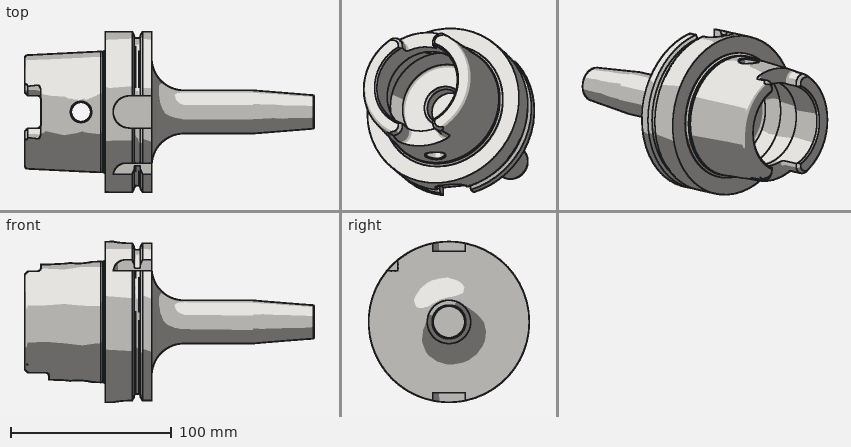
import cadquery as cq
import math

ARC_MID = 1 - math.sqrt(0.5)

TAPER_LENGTH = 50.0
FLANGE_WIDTH = 29.0
NECK_RADIUS = 13.5
FLARE_RADIUS = 20.0
NOSE_CONE_START = 92.0
NOSE_END = 130.0
NOSE_RADIUS = 10.5
NOSE_CHAMFER = 0.7

GAUGE_RADIUS = 37.5
GAUGE_OFFSET = 6.3
TAPER_SLOPE = 1 / 20
TIP_ROUND = 2.0
FACE_FILLET = 1.5
FACE_RECESS = 0.5
RELIEF_START = -2.7
RELIEF_DEPTH = 0.25
RELIEF_STEP = 0.4

BORE_RADIUS = 26.5
BORE_MOUTH_CHAMFER = 1.1
CLAMP_SHOULDER_X = -29.5
CLAMP_SHOULDER_ANGLE = 60.0
CLAMP_RADIUS = 31.5
CLAMP_END_X = -9.2
CLAMP_RUNOUT_ANGLE = 30.0
BORE_FLOOR_FILLET = 1.5
PILOT_RADIUS = 11.2
PILOT_CHAMFER = 1.5
PILOT_DEPTH = 10.0

CROSS_HOLE_RADIUS = 6.0
CROSS_HOLE_CHAMFER = 0.6
CROSS_HOLE_X = -15.0

DRIVE_SLOT_HALF_WIDTH = 10.0
DRIVE_SLOT_SHOULDER = 31.6
DRIVE_SLOT_CORNER = 5.5
DRIVE_SLOT_FLOOR_FILLET = 2.0
DRIVE_SLOT_ENTRY_CHAMFER = 2.0
UPPER_SLOT_DEPTH = 10.0
LOWER_SLOT_DEPTH = 15.0
SELECT_MARGIN = 0.5

FLANGE_RADIUS = 50.0
GROOVE_CENTER = 20.0
GROOVE_MOUTH = 6.5
GROOVE_NECK = 3.9
GROOVE_WALL_ANGLE = 30.0
GROOVE_FLOOR_RADIUS = 46.0
GROOVE_ROUND = 1.1

POCKET_START = 5.0
POCKET_HALF_WIDTH = 10.0
POCKET_FLOOR = 44.0
NOTCH_WALL = 31.75
NOTCH_CUTTER_RADIUS = 8.0


def taper_radius(x):
    """Outer radius of the taper at axial position x."""
    return GAUGE_RADIUS + (x + GAUGE_OFFSET) * TAPER_SLOPE


def outer_body():
    """Solid of revolution about X: taper, flange, flare and nose."""
    tip = -TAPER_LENGTH
    root_radius = taper_radius(0)
    relief_radius = root_radius - RELIEF_DEPTH
    fillet_start = FACE_RECESS - FACE_FILLET
    fillet_sweep = FACE_FILLET * ARC_MID
    fillet_top = root_radius + FACE_FILLET
    flare_sweep = FLARE_RADIUS * ARC_MID
    flare_end = FLANGE_WIDTH + FLARE_RADIUS
    flare_center_radius = NECK_RADIUS + FLARE_RADIUS
    return (
        cq.Workplane("XY")
        .moveTo(tip, 0)
        .lineTo(tip, taper_radius(tip))
        .lineTo(RELIEF_START, taper_radius(RELIEF_START))
        .lineTo(RELIEF_START + RELIEF_STEP, relief_radius)
        .lineTo(fillet_start - RELIEF_STEP, relief_radius)
        .lineTo(fillet_start, root_radius)
        .threePointArc((FACE_RECESS - fillet_sweep, root_radius + fillet_sweep), (FACE_RECESS, fillet_top))
        .lineTo(0, fillet_top)
        .lineTo(0, FLANGE_RADIUS)
        .lineTo(FLANGE_WIDTH, FLANGE_RADIUS)
        .lineTo(FLANGE_WIDTH, flare_center_radius)
        .threePointArc((FLANGE_WIDTH + flare_sweep, NECK_RADIUS + flare_sweep), (flare_end, NECK_RADIUS))
        .lineTo(NOSE_CONE_START, NECK_RADIUS)
        .lineTo(NOSE_END - NOSE_CHAMFER, NOSE_RADIUS)
        .lineTo(NOSE_END, NOSE_RADIUS - NOSE_CHAMFER)
        .lineTo(NOSE_END, 0)
        .close()
        .revolve(360, (0, 0, 0), (1, 0, 0))
    )


def tip_rounding():
    """Ring of material outside the rounded rim of the taper tip."""
    tip = -TAPER_LENGTH
    rim_radius = taper_radius(tip + TIP_ROUND)
    diagonal = TIP_ROUND * ARC_MID
    return (
        cq.Workplane("XY")
        .moveTo(tip, rim_radius - TIP_ROUND)
        .threePointArc((tip + diagonal, rim_radius - diagonal), (tip + TIP_ROUND, rim_radius))
        .lineTo(tip + TIP_ROUND, FLANGE_RADIUS)
        .lineTo(tip, FLANGE_RADIUS)
        .close()
        .revolve(360, (0, 0, 0), (1, 0, 0))
    )


def gripper_groove():
    """Ring with tapered mouth, straight neck and rounded floor corners."""
    mouth_half = GROOVE_MOUTH / 2
    neck_half = GROOVE_NECK / 2
    floor_half = neck_half - GROOVE_ROUND
    mouth_depth = (mouth_half - neck_half) / math.tan(math.radians(GROOVE_WALL_ANGLE))
    neck_radius = FLANGE_RADIUS - mouth_depth
    round_top = GROOVE_FLOOR_RADIUS + GROOVE_ROUND
    sweep = GROOVE_ROUND * ARC_MID
    return (
        cq.Workplane("XY", origin=(GROOVE_CENTER, 0, 0))
        .moveTo(-mouth_half, FLANGE_RADIUS)
        .lineTo(-neck_half, neck_radius)
        .lineTo(-neck_half, round_top)
        .threePointArc((-neck_half + sweep, GROOVE_FLOOR_RADIUS + sweep), (-floor_half, GROOVE_FLOOR_RADIUS))
        .lineTo(floor_half, GROOVE_FLOOR_RADIUS)
        .threePointArc((neck_half - sweep, GROOVE_FLOOR_RADIUS + sweep), (neck_half, round_top))
        .lineTo(neck_half, neck_radius)
        .lineTo(mouth_half, FLANGE_RADIUS)
        .close()
        .revolve(360, (0, 0, 0), (1, 0, 0))
    )


def taper_bore():
    """Blind bore opening at the taper tip."""
    tip = -TAPER_LENGTH
    step = CLAMP_RADIUS - BORE_RADIUS
    shoulder_length = step / math.tan(math.radians(CLAMP_SHOULDER_ANGLE))
    runout_end = CLAMP_END_X + step / math.tan(math.radians(CLAMP_RUNOUT_ANGLE))
    floor = runout_end + BORE_FLOOR_FILLET
    floor_radius = BORE_RADIUS - BORE_FLOOR_FILLET
    floor_sweep = BORE_FLOOR_FILLET * ARC_MID
    return (
        cq.Workplane("XY")
        .moveTo(tip, 0)
        .lineTo(tip, BORE_RADIUS + BORE_MOUTH_CHAMFER)
        .lineTo(tip + BORE_MOUTH_CHAMFER, BORE_RADIUS)
        .lineTo(CLAMP_SHOULDER_X, BORE_RADIUS)
        .lineTo(CLAMP_SHOULDER_X + shoulder_length, CLAMP_RADIUS)
        .lineTo(CLAMP_END_X, CLAMP_RADIUS)
        .lineTo(runout_end, BORE_RADIUS)
        .threePointArc((floor - floor_sweep, BORE_RADIUS - floor_sweep), (floor, floor_radius))
        .lineTo(floor, PILOT_RADIUS + PILOT_CHAMFER)
        .lineTo(floor + PILOT_CHAMFER, PILOT_RADIUS)
        .lineTo(floor + PILOT_DEPTH, PILOT_RADIUS)
        .lineTo(floor + PILOT_DEPTH, 0)
        .close()
        .revolve(360, (0, 0, 0), (1, 0, 0))
    )


def cross_hole():
    """Straight hole along Z through both walls of the taper."""
    return (
        cq.Workplane("XY")
        .center(CROSS_HOLE_X, 0)
        .circle(CROSS_HOLE_RADIUS)
        .extrude(FLANGE_RADIUS, both=True)
    )


def drive_slot(depth):
    """Slot above the axis whose walls curve outward into flat shoulders."""
    wall = DRIVE_SLOT_HALF_WIDTH
    corner = DRIVE_SLOT_CORNER
    wall_top = DRIVE_SLOT_SHOULDER - corner
    sweep = corner * ARC_MID
    reach = FLANGE_RADIUS
    return (
        cq.Workplane("YZ", origin=(-TAPER_LENGTH, 0, 0))
        .moveTo(-wall, 0)
        .lineTo(wall, 0)
        .lineTo(wall, wall_top)
        .threePointArc((wall + sweep, DRIVE_SLOT_SHOULDER - sweep), (wall + corner, DRIVE_SLOT_SHOULDER))
        .lineTo(reach, DRIVE_SLOT_SHOULDER)
        .lineTo(reach, reach)
        .lineTo(-reach, reach)
        .lineTo(-reach, DRIVE_SLOT_SHOULDER)
        .lineTo(-wall - corner, DRIVE_SLOT_SHOULDER)
        .threePointArc((-wall - sweep, DRIVE_SLOT_SHOULDER - sweep), (-wall, wall_top))
        .close()
        .extrude(depth)
        .faces(">X")
        .edges()
        .fillet(DRIVE_SLOT_FLOOR_FILLET)
    )


def rim_pocket():
    """Pocket with a flat floor, a half-round end and an open front end."""
    round_center = POCKET_START + POCKET_HALF_WIDTH
    return (
        cq.Workplane("XY", origin=(0, 0, POCKET_FLOOR))
        .moveTo(FLANGE_WIDTH, -POCKET_HALF_WIDTH)
        .lineTo(round_center, -POCKET_HALF_WIDTH)
        .threePointArc((POCKET_START, 0), (round_center, POCKET_HALF_WIDTH))
        .lineTo(FLANGE_WIDTH, POCKET_HALF_WIDTH)
        .close()
        .extrude(FLANGE_RADIUS - POCKET_FLOOR)
    )


def corner_notch():
    """L-shaped notch in the -Y, +Z corner of the rim, with one rounded end."""
    length = FLANGE_WIDTH - POCKET_START
    depth = FLANGE_RADIUS - NOTCH_WALL
    return (
        cq.Workplane("XY", origin=(POCKET_START, -NOTCH_WALL, NOTCH_WALL))
        .center(length / 2, -depth / 2)
        .rect(length, depth)
        .extrude(depth)
        .edges("|Z and <X and >Y")
        .fillet(NOTCH_CUTTER_RADIUS)
    )


def flipped(tool):
    """The tool turned half a turn about X, to the -Z side."""
    return tool.rotate((0, 0, 0), (1, 0, 0), 180)


def cut_drive_slots(body):
    """Cut both drive slots and chamfer their edges on the end face."""
    slotted = body.cut(drive_slot(UPPER_SLOT_DEPTH)).cut(flipped(drive_slot(LOWER_SLOT_DEPTH)))
    reach_y = DRIVE_SLOT_HALF_WIDTH + DRIVE_SLOT_CORNER
    reach_z = DRIVE_SLOT_SHOULDER
    entry_edges = cq.selectors.BoxSelector(
        (-TAPER_LENGTH - SELECT_MARGIN, -reach_y, -reach_z),
        (-TAPER_LENGTH + SELECT_MARGIN, reach_y, reach_z),
    )
    return slotted.edges(entry_edges).chamfer(DRIVE_SLOT_ENTRY_CHAMFER)


def cut_cross_hole(body):
    """Drill the cross hole and chamfer its two rims on the outside of the taper."""
    drilled = body.cut(cross_hole())
    outer = taper_radius(CROSS_HOLE_X)
    for side in (1, -1):
        rim = cq.selectors.NearestToPointSelector((CROSS_HOLE_X, 0, side * outer))
        drilled = drilled.edges(rim).chamfer(CROSS_HOLE_CHAMFER)
    return drilled


result = cut_drive_slots(outer_body())
result = result.cut(tip_rounding()).cut(taper_bore()).cut(gripper_groove())
result = cut_cross_hole(result)
result = result.cut(rim_pocket()).cut(flipped(rim_pocket())).cut(corner_notch())